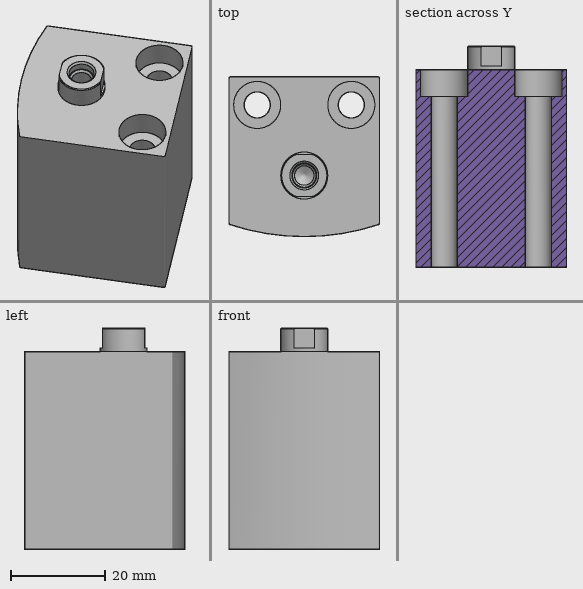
import cadquery as cq
import math

width = 32.0
height = 42.0
rod_to_back = 21.0
rod_to_front = 13.0
front_radius = 50.0
corner_radius = 0.4

mount_spacing = 20.0
mount_to_back = 6.0
mount_diameter = 5.5
mount_head_diameter = 10.0
mount_head_depth = 5.7

rod_diameter = 10.0
rod_projection = 5.0
rod_insertion = 10.0
rod_chamfer = 0.2
across_flats = 9.0
collar_height = 0.8

thread_core_diameter = 4.13
thread_major_diameter = 5.0
thread_relief_diameter = 5.3
thread_mouth_diameter = 6.1
thread_relief_depth = 2.0
thread_depth = 10.0
drill_tip_angle = 118.0

half_width = width / 2
front_sagitta = front_radius - math.sqrt(front_radius**2 - half_width**2)
front_corner_y = front_sagitta - rod_to_front
rod_bottom = height - rod_insertion
rod_top = height + rod_projection


def make_rod_blank():
    """Plain round rod, also used to cut its seat in the housing."""
    return (
        cq.Workplane("XY", origin=(0, 0, rod_bottom))
        .circle(rod_diameter / 2)
        .extrude(rod_top - rod_bottom)
    )


def make_housing():
    """Block with a bowed front, two mounting holes and a blind seat for the rod."""
    block = (
        cq.Workplane("XY")
        .moveTo(-half_width, rod_to_back)
        .lineTo(-half_width, front_corner_y)
        .threePointArc((0, -rod_to_front), (half_width, front_corner_y))
        .lineTo(half_width, rod_to_back)
        .close()
        .extrude(height)
        .edges("|Z")
        .fillet(corner_radius)
    )
    mount_y = rod_to_back - mount_to_back
    drilled = (
        block.faces(">Z")
        .workplane(origin=(0, 0, height))
        .pushPoints([(side * mount_spacing / 2, mount_y) for side in (-1, 1)])
        .cboreHole(mount_diameter, mount_head_diameter, mount_head_depth)
    )
    return drilled.cut(make_rod_blank())


def make_thread_hole():
    """Revolved hole: chamfered mouth, wider relief, conical lead-in, thread core and conical drill tip."""
    core_radius = thread_core_diameter / 2
    relief_radius = thread_relief_diameter / 2
    mouth_radius = thread_mouth_diameter / 2
    mouth_depth = mouth_radius - relief_radius
    major_radius = thread_major_diameter / 2
    lead_in_length = major_radius - core_radius
    tip_length = core_radius / math.tan(math.radians(drill_tip_angle / 2))
    return (
        cq.Workplane("XZ")
        .moveTo(0, rod_top)
        .lineTo(mouth_radius, rod_top)
        .lineTo(relief_radius, rod_top - mouth_depth)
        .lineTo(relief_radius, rod_top - thread_relief_depth)
        .lineTo(major_radius, rod_top - thread_relief_depth)
        .lineTo(core_radius, rod_top - thread_relief_depth - lead_in_length)
        .lineTo(core_radius, rod_top - thread_depth + tip_length)
        .lineTo(0, rod_top - thread_depth)
        .close()
        .revolve(360, (0, 0, 0), (0, 1, 0))
    )


def make_rod():
    """Rod with a chamfered end, two wrench flats facing front and back, and a tapped hole."""
    flat_bottom = height + collar_height
    rod = make_rod_blank().faces(">Z").chamfer(rod_chamfer)
    shank = cq.Workplane("XY", origin=(0, 0, rod_bottom)).rect(rod_diameter, rod_diameter)
    shank = shank.extrude(flat_bottom - rod_bottom)
    flats = cq.Workplane("XY", origin=(0, 0, flat_bottom)).rect(rod_diameter, across_flats)
    flats = flats.extrude(rod_top - flat_bottom)
    return rod.intersect(shank.union(flats)).cut(make_thread_hole())


housing = make_housing()
rod = make_rod()

result = cq.Compound.makeCompound([housing.val(), rod.val()])